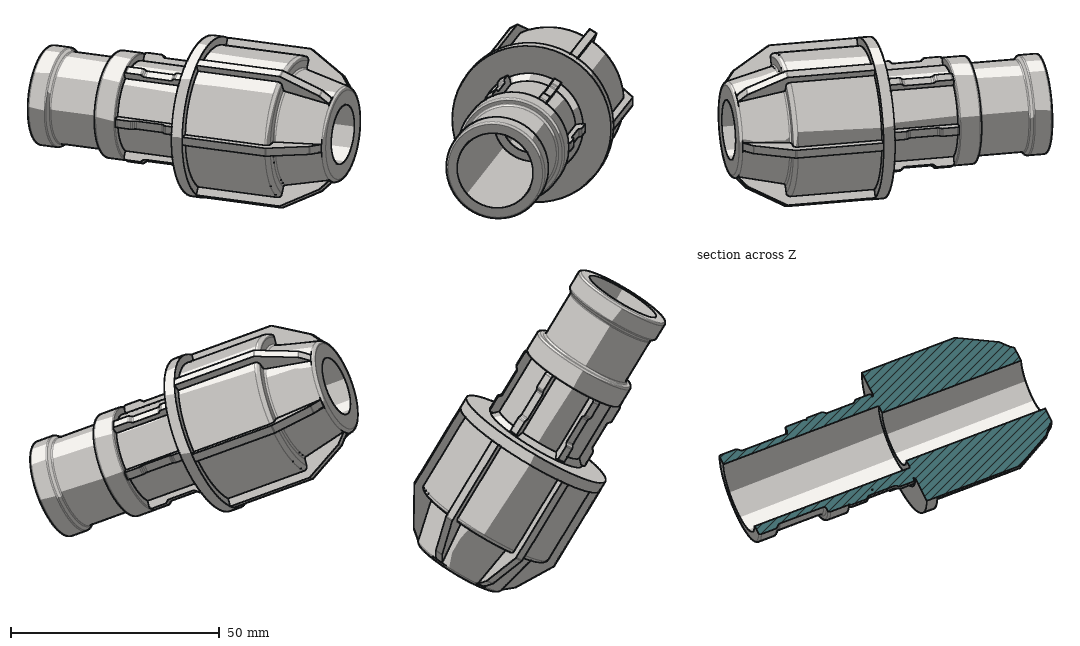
import cadquery as cq
import math

length = 77.0
lip_end = 5.12
collar_start = 17.7
collar_end = 23.2
flange_cone_start = 39.1
flange_start = 40.6
flange_end = 43.4
body_end = 65.0

bore_radius = 14.4 / 2
socket_radius = 18.63 / 2
neck_radius = 22.36 / 2
lip_radius = 24.22 / 2
collar_radius = 26.08 / 2
flange_radius = 39.0 / 2
body_radius = 17.5
nose_base_radius = 14.4
nose_taper = math.radians(13.5)

small_round = 0.5
collar_back_round = 0.25
body_round = 1.0
nose_round = 0.9

rib_count = 6
rib_width = 2.0
barrel_rib_radius = 13.28
barrel_rib_end = 40.3
barrel_rib_root = (socket_radius + neck_radius) / 2
rib_recess_depth = 0.7
rib_recess_start = 28.0
rib_recess_end = 35.85
rib_corner_round = 0.6
rib_end_round = 0.4
body_rib_root = 9.0
body_rib_slope = math.radians(30)
body_rib_end_slope = math.radians(50)
body_rib_knee = 74.2
body_rib_tip = 76.3


def rounded_outline(corners):
    """Closed outline from (x, radius, round) corners, with an arc at each rounded corner."""
    outline = None
    for i, (x, y, fillet) in enumerate(corners):
        before = corners[i - 1]
        after = corners[(i + 1) % len(corners)]
        corner = cq.Vector(x, y)
        to_before = (cq.Vector(before[0], before[1]) - corner).normalized()
        to_after = (cq.Vector(after[0], after[1]) - corner).normalized()
        half_angle = to_before.getAngle(to_after) / 2
        setback = fillet / math.tan(half_angle)
        arc_start = corner + to_before * setback
        if outline is None:
            outline = cq.Workplane("XY").moveTo(arc_start.x, arc_start.y)
        else:
            outline = outline.lineTo(arc_start.x, arc_start.y)
        if fillet > 0:
            bisector = (to_before + to_after).normalized()
            arc_middle = corner + bisector * (fillet / math.sin(half_angle) - fillet)
            arc_end = corner + to_after * setback
            outline = outline.threePointArc((arc_middle.x, arc_middle.y), (arc_end.x, arc_end.y))
    return outline.close()


def turned_body():
    """Revolved spigot, collar, barrel, flange, body and tapered nose, with the stepped bore."""
    half_shoulder = (lip_radius - neck_radius) / 2
    cone_top_radius = neck_radius + flange_start - flange_cone_start
    nose_end_radius = nose_base_radius - (length - body_end) * math.tan(nose_taper)
    profile = rounded_outline([
        (0, socket_radius, 0),
        (0, lip_radius, small_round),
        (lip_end - half_shoulder, lip_radius, small_round),
        (lip_end + half_shoulder, neck_radius, small_round),
        (collar_start, neck_radius, small_round),
        (collar_start, collar_radius, small_round),
        (collar_end, collar_radius, collar_back_round),
        (collar_end, neck_radius, 0),
        (flange_cone_start, neck_radius, 0),
        (flange_start, cone_top_radius, 0),
        (flange_start, flange_radius, 0),
        (flange_end, flange_radius, 0),
        (flange_end, body_radius, 0),
        (body_end, body_radius, body_round),
        (body_end, nose_base_radius, small_round),
        (length, nose_end_radius, nose_round),
        (length, bore_radius, 0),
        (flange_start, bore_radius, 0),
        (flange_start, socket_radius, 0),
    ])
    return profile.revolve(360, (0, 0, 0), (1, 0, 0))


def rib_ring(corners):
    """Equally spaced radial ribs, the first one pointing along +Y."""
    rib = rounded_outline(corners).extrude(rib_width / 2, both=True)
    ring = rib
    for i in range(1, rib_count):
        ring = ring.union(rib.rotate((0, 0, 0), (1, 0, 0), i * 360 / rib_count))
    return ring


def barrel_ribs():
    """Ribs from the collar to the flange, each with a shallow recess between 45 degree slopes."""
    half_slope = rib_recess_depth / 2
    recess_radius = barrel_rib_radius - rib_recess_depth
    return rib_ring([
        (collar_end, barrel_rib_root, 0),
        (collar_end, barrel_rib_radius, rib_corner_round),
        (rib_recess_start - half_slope, barrel_rib_radius, rib_corner_round),
        (rib_recess_start + half_slope, recess_radius, rib_corner_round),
        (rib_recess_end - half_slope, recess_radius, rib_corner_round),
        (rib_recess_end + half_slope, barrel_rib_radius, rib_corner_round),
        (barrel_rib_end, barrel_rib_radius, rib_end_round),
        (barrel_rib_end, barrel_rib_root, 0),
    ])


def body_ribs():
    """Ribs along the body that slope down in two stages and run out on the nose."""
    knee_radius = flange_radius - (body_rib_knee - body_end) * math.tan(body_rib_slope)
    tip_radius = knee_radius - (body_rib_tip - body_rib_knee) * math.tan(body_rib_end_slope)
    return rib_ring([
        (flange_end, body_rib_root, 0),
        (flange_end, flange_radius, 0),
        (body_end, flange_radius, small_round),
        (body_rib_knee, knee_radius, small_round),
        (body_rib_tip, tip_radius, 0),
        (body_rib_tip, body_rib_root, 0),
    ])


result = turned_body().union(barrel_ribs()).union(body_ribs())